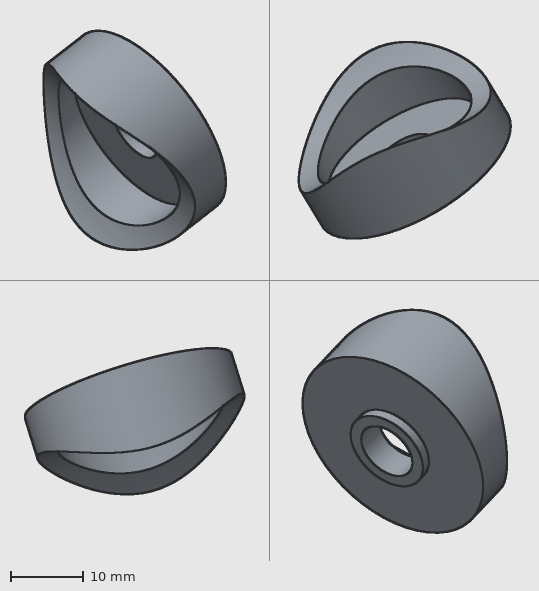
import cadquery as cq

body_diameter = 30.0
pocket_diameter = 24.0
boss_diameter = 12.0
bore_diameter = 8.5
boss_height = 1.5
floor_thickness = 3.0
saddle_depth = 6.0
saddle_radius = 21.2

blank_depth = saddle_depth + saddle_radius


def cylinder_along_y(diameter, start_y, end_y):
    """Solid cylinder on the Y axis between two Y positions."""
    return (
        cq.Workplane("XZ", origin=(0, start_y, 0))
        .circle(diameter / 2)
        .extrude(start_y - end_y)
    )


def saddle_envelope():
    """Everything behind the saddle: a block with a pipe along X removed."""
    block = (
        cq.Workplane("XY")
        .box(body_diameter, blank_depth, body_diameter)
        .translate((0, -blank_depth / 2, 0))
    )
    pipe = (
        cq.Workplane("YZ")
        .center(-saddle_depth - saddle_radius, 0)
        .circle(saddle_radius)
        .extrude(body_diameter, both=True)
    )
    return block.cut(pipe)


body = cylinder_along_y(body_diameter, 0, -blank_depth).intersect(saddle_envelope())
boss = cylinder_along_y(boss_diameter, 0, boss_height)
pocket = cylinder_along_y(pocket_diameter, -floor_thickness, -blank_depth)
bore = cylinder_along_y(bore_diameter, boss_height, -blank_depth)

result = body.union(boss).cut(pocket).cut(bore)